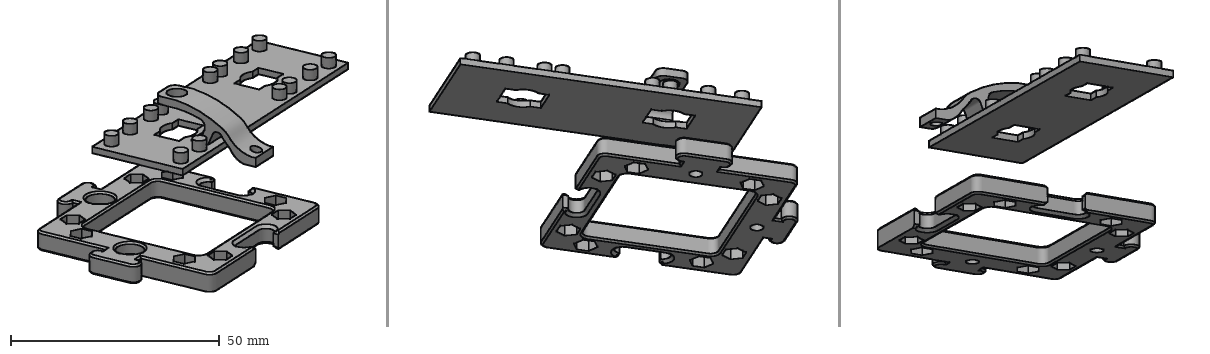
import cadquery as cq
FRAME_SIZE = 50.0
FRAME_HEIGHT = 5.0
WINDOW_SIZE = 34.0
CORNER_RADIUS = 2.0
EDGE_CHAMFER = 0.5

TAB_ANGLES = [180, 270]
SLOT_ANGLES = [0, 90]

TAB_REACH = 5.6
TAB_NECK_WIDTH = 10.0
TAB_HEAD_RADIUS = 2.0

SLOT_DEPTH = 5.4
SLOT_MOUTH_WIDTH = 10.3
SLOT_END_RADIUS = 2.0
SLOT_CHAMFER = 0.8

SCREW_HOLE_DIAMETER = 3.2
SCREW_HEAD_DIAMETER = 7.0
SCREW_HEAD_DEPTH = 3.0
SCREW_OFFSET = 22.0

HEX_DIAMETER = 5.9
HEX_RING_OFFSET = 20.75
HEX_TURN = 30
HEX_SPREAD = 14.5

PLATE_WIDTH = 25.5
PLATE_LENGTH = 75.4
PLATE_THICKNESS = 1.7
PLATE_BOTTOM = 26.0
PLATE_TOP = PLATE_BOTTOM + PLATE_THICKNESS
PLATE_CENTER_X = 0.5
OPENING_X = 0.1
OPENING_PITCH = 36.5
PLATE_CENTER_Y = OPENING_PITCH / 2

OPENING_WIDTH = 7.0
OPENING_LENGTH = 11.0
OPENING_ROUND_DIAMETER = 9.0

PIN_DIAMETER = 3.5
PIN_HEIGHT = 2.8
PIN_SPACING_X = 19.5
PIN_OFFSETS_Y = [-15.45, -7.0, 2.5, 7.0]
PIN_UNDER_LEVER = 2.5

LEVER_WIDTH = 8.0
LEVER_CENTER_Y = 0.1
LEVER_TOP = 37.3
ARM_THICKNESS = 2.1
ARM_END_X = -4.25
ARM_FLAT_END_X = 1.8
ARM_CORNER_RADIUS = 2.0
ARM_HOLE_DIAMETER = 5.0
ARM_HOLE_X = -0.45
TAIL_END_X = 24.2
TAIL_FLAT_X = 22.9
TAIL_TOP = 27.35
TAIL_THICKNESS = 2.4
TAIL_HOLE_DIAMETER = 2.9
TAIL_HOLE_X = 21.9
FOOT_TIP_X = 6.0
FOOT_TIP_HEIGHT = 0.2
FOOT_HEEL_X = 10.8


SIDE = FRAME_SIZE / 2


def turned(solid, angle):
    """The solid turned about the vertical axis through the frame centre."""
    return solid.rotate((0, 0, 0), (0, 0, 1), angle)


def hook(reach, neck_width, end_radius):
    """T-shaped prism lying along X: neck from the origin, round-ended head whose far face is at `reach`."""
    head_x = reach - end_radius
    head_length = TAB_NECK_WIDTH + 2 * end_radius
    head = cq.Workplane("XY").center(head_x, 0).slot2D(head_length, 2 * end_radius, 90).extrude(FRAME_HEIGHT)
    neck = cq.Workplane("XY").center(head_x / 2, 0).rect(head_x, neck_width).extrude(FRAME_HEIGHT)
    return head.union(neck)


def slot_core():
    """Straight-walled slot for a neighbouring tab, cut into the +X side."""
    slot = hook(SLOT_DEPTH, SLOT_MOUTH_WIDTH, SLOT_END_RADIUS)
    return turned(slot, 180).translate((SIDE, 0, 0))


def slot_flares():
    """Cutters for the wide chamfer around the slot's top and bottom rims."""
    slot = slot_core()
    bottom_rim = slot.faces("<Z").wires().val()
    bottom = cq.Workplane("XY").add(bottom_rim).toPending().offset2D(SLOT_CHAMFER)
    bottom = bottom.extrude(SLOT_CHAMFER, taper=45)
    return bottom.union(bottom.mirror("XY", (0, 0, FRAME_HEIGHT / 2)))


def keeps_sharp_edge(edge):
    """True for the bottom outer edges from the -Y tab round the +X -Y corner to the +X slot."""
    center = edge.Center()
    at_bottom = center.z < EDGE_CHAMFER
    at_corner = center.x > TAB_NECK_WIDTH and center.y < -TAB_NECK_WIDTH
    outside = max(center.x, -center.y) > SIDE - CORNER_RADIUS
    return at_bottom and at_corner and outside


def frame_blank():
    """Ring with its tabs and slots, chamfered around the outline and the window."""
    ring = cq.Workplane("XY").rect(FRAME_SIZE, FRAME_SIZE).extrude(FRAME_HEIGHT)
    window = cq.Workplane("XY").rect(WINDOW_SIZE, WINDOW_SIZE).extrude(FRAME_HEIGHT)
    ring = ring.edges("|Z").fillet(CORNER_RADIUS)
    ring = ring.cut(window.edges("|Z").fillet(CORNER_RADIUS))
    tab = hook(TAB_REACH, TAB_NECK_WIDTH, TAB_HEAD_RADIUS).translate((SIDE, 0, 0))
    for angle in TAB_ANGLES:
        ring = ring.union(turned(tab, angle))
    for angle in SLOT_ANGLES:
        ring = ring.cut(turned(slot_core(), angle))
    rims = ring.faces("<Z or >Z").edges().filter(lambda edge: not keeps_sharp_edge(edge))
    ring = rims.chamfer(EDGE_CHAMFER)
    for angle in SLOT_ANGLES:
        ring = ring.cut(turned(slot_flares(), angle))
    return ring


def screw_cutter():
    """Through hole with a chamfered counterbore for the screw beside a tab on the +X side."""
    hole = cq.Workplane("XY").circle(SCREW_HOLE_DIAMETER / 2).extrude(FRAME_HEIGHT)
    head = cq.Workplane("XY").workplane(offset=FRAME_HEIGHT)
    head = head.circle(SCREW_HEAD_DIAMETER / 2).extrude(-SCREW_HEAD_DEPTH)
    flare = cq.Workplane("XY").workplane(offset=FRAME_HEIGHT)
    flare = flare.circle(SCREW_HEAD_DIAMETER / 2 + EDGE_CHAMFER).extrude(-EDGE_CHAMFER, taper=45)
    return hole.union(head).union(flare).translate((SCREW_OFFSET, 0, 0))


def make_frame():
    frame = frame_blank()
    for angle in TAB_ANGLES:
        frame = frame.cut(turned(screw_cutter(), angle))
    hexagon = cq.Workplane("XY").polygon(6, HEX_DIAMETER).extrude(FRAME_HEIGHT)
    for angle in TAB_ANGLES + SLOT_ANGLES:
        for y in (-HEX_SPREAD, HEX_SPREAD):
            pocket = turned(hexagon, HEX_TURN).translate((HEX_RING_OFFSET, y, 0))
            frame = frame.cut(turned(pocket, angle))
    return frame


def plate_opening(y):
    """Rectangular opening with a round bulge on each long side."""
    base = cq.Workplane("XY").workplane(offset=PLATE_BOTTOM).center(OPENING_X, y)
    opening = base.rect(OPENING_WIDTH, OPENING_LENGTH).extrude(PLATE_THICKNESS)
    bulge = base.circle(OPENING_ROUND_DIAMETER / 2).extrude(PLATE_THICKNESS)
    return opening.union(bulge)


def pin_spots():
    """Centres of the pins; the rear group mirrors the front one about the plate's middle."""
    spots = []
    for y in PIN_OFFSETS_Y:
        for x_side in (-1, 1):
            x = PLATE_CENTER_X + x_side * PIN_SPACING_X / 2
            spots.append((x, OPENING_PITCH - y))
            if x_side < 0 or y != PIN_UNDER_LEVER:
                spots.append((x, y))
    return spots


def make_plate():
    plate = cq.Workplane("XY").workplane(offset=PLATE_BOTTOM).center(PLATE_CENTER_X, PLATE_CENTER_Y)
    plate = plate.rect(PLATE_WIDTH, PLATE_LENGTH).extrude(PLATE_THICKNESS)
    for y in (0, OPENING_PITCH):
        plate = plate.cut(plate_opening(y))
    pins = cq.Workplane("XY").workplane(offset=PLATE_TOP).pushPoints(pin_spots())
    return plate.union(pins.circle(PIN_DIAMETER / 2).extrude(PIN_HEIGHT))


def lever_profile():
    """Side outline of the lever, clockwise from the top of the arm's free end."""
    arm_bottom = LEVER_TOP - ARM_THICKNESS
    tail_bottom = TAIL_TOP - TAIL_THICKNESS
    outline = cq.Workplane("XZ").moveTo(ARM_END_X, LEVER_TOP).lineTo(ARM_FLAT_END_X, LEVER_TOP)
    outline = outline.threePointArc((8.4, 35.9), (14.5, 33.05))
    outline = outline.threePointArc((15.71, 32.2), (16.7, 31.1))
    outline = outline.tangentArcPoint((TAIL_FLAT_X, TAIL_TOP), relative=False)
    outline = outline.lineTo(TAIL_END_X, TAIL_TOP).lineTo(TAIL_END_X, tail_bottom)
    outline = outline.lineTo(20.8, tail_bottom)
    outline = outline.threePointArc((18.7, 26.0), (17.0, 28.0))
    outline = outline.lineTo(14.7, 30.6)
    outline = outline.threePointArc((13.3, 31.6), (12.0, 30.6))
    outline = outline.lineTo(FOOT_HEEL_X, PLATE_TOP).lineTo(FOOT_TIP_X, PLATE_TOP)
    outline = outline.lineTo(FOOT_TIP_X, PLATE_TOP + FOOT_TIP_HEIGHT)
    outline = outline.threePointArc((8.5, 28.8), (9.5, 31.0))
    outline = outline.threePointArc((9.85, 32.5), (8.7, 33.9))
    outline = outline.threePointArc((5.2, 34.8), (ARM_FLAT_END_X, arm_bottom))
    return outline.lineTo(ARM_END_X, arm_bottom).close()


def make_lever():
    lever = lever_profile().extrude(LEVER_WIDTH / 2, both=True)
    lever = lever.edges("|Z and <X").fillet(ARM_CORNER_RADIUS)
    for x, diameter, floor in (
        (ARM_HOLE_X, ARM_HOLE_DIAMETER, LEVER_TOP - ARM_THICKNESS),
        (TAIL_HOLE_X, TAIL_HOLE_DIAMETER, TAIL_TOP - TAIL_THICKNESS),
    ):
        hole = cq.Workplane("XY").workplane(offset=floor).center(x, 0)
        lever = lever.cut(hole.circle(diameter / 2).extrude(LEVER_TOP - floor))
    return lever.translate((0, LEVER_CENTER_Y, 0))


frame = make_frame()
plate = make_plate()
lever = make_lever()
result = cq.Compound.makeCompound([frame.val(), plate.val(), lever.val()])